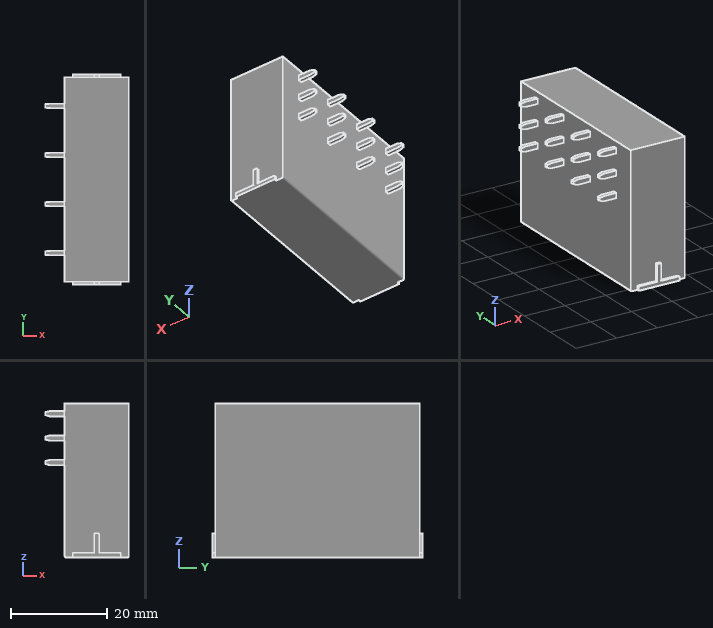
import cadquery as cq

TOTAL_DEPTH = 17.4
TOTAL_LENGTH = 43.7
HEIGHT = 32.0

PIN_LENGTH = 4.0
LATCH_THICKNESS = 0.55
BODY_DEPTH = TOTAL_DEPTH - PIN_LENGTH
BODY_LENGTH = TOTAL_LENGTH - 2 * LATCH_THICKNESS
BOTTOM_EDGE_RADIUS = 0.4

PIN_WIDTH = 0.95
PIN_HEIGHT = 1.2
PIN_TAPER_LENGTH = 1.0
PIN_TIP_WIDTH = 0.8
PIN_TIP_HEIGHT = 0.6
PIN_COLUMNS = 4
PIN_ROWS = 3
COLUMN_PITCH = 10.18
ROW_PITCH = 5.05
TOP_ROW_DROP = 2.15

BAR_WIDTH = 10.0
BAR_HEIGHT = 1.0
STEM_WIDTH = 1.0
STEM_HEIGHT = 5.02
LATCH_CORNER_RADIUS = 0.2


def make_body():
    """Block standing on Z = 0 with its pin face at X = 0, centred in Y."""
    block = cq.Workplane("XY").box(BODY_DEPTH, BODY_LENGTH, HEIGHT, centered=(False, True, False))
    return block.edges("|Y and <Z").fillet(BOTTOM_EDGE_RADIUS)


def make_pin(y, z):
    """Rectangular shank leaving the pin face, ending in a tapered tip."""
    shank_length = PIN_LENGTH - PIN_TAPER_LENGTH
    face = cq.Workplane("YZ", origin=(0, y, z))
    shank = face.rect(PIN_WIDTH, PIN_HEIGHT).extrude(-shank_length)
    taper = (
        face.workplane(offset=-shank_length)
        .rect(PIN_WIDTH, PIN_HEIGHT)
        .workplane(offset=-PIN_TAPER_LENGTH)
        .rect(PIN_TIP_WIDTH, PIN_TIP_HEIGHT)
        .loft(ruled=True)
    )
    return shank.union(taper)


def make_latch():
    """Inverted-T rib on the -Y end face, with rounded upper corners."""
    outer_face = -TOTAL_LENGTH / 2
    origin = (BODY_DEPTH / 2, outer_face + LATCH_THICKNESS / 2, 0)

    def block(width, height):
        plain = cq.Workplane("XY", origin=origin).box(
            width, LATCH_THICKNESS, height, centered=(True, True, False)
        )
        return plain.edges("|Y and >Z").fillet(LATCH_CORNER_RADIUS)

    return block(BAR_WIDTH, BAR_HEIGHT).union(block(STEM_WIDTH, STEM_HEIGHT))


result = make_body()

for column in range(PIN_COLUMNS):
    for row in range(PIN_ROWS):
        pin_y = (column - (PIN_COLUMNS - 1) / 2) * COLUMN_PITCH
        pin_z = HEIGHT - TOP_ROW_DROP - row * ROW_PITCH
        result = result.union(make_pin(pin_y, pin_z))

latch = make_latch()
result = result.union(latch).union(latch.mirror("XZ"))